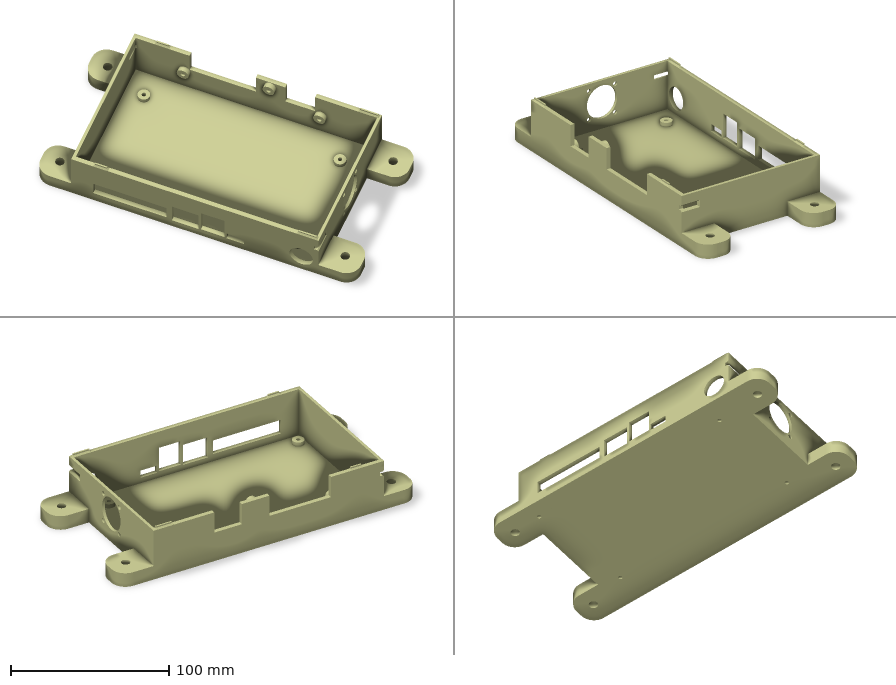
import cadquery as cq
box_length = 169.0
box_width = 106.0
box_height = 36.0
side_wall = 2.0
long_wall = 3.0
floor_thickness = 2.0
cavity_length = box_length - 2 * side_wall
cavity_width = box_width - 2 * long_wall

lug_size = 25.0
lug_height = 10.0
lug_corner_radius = 10.0
lug_hole_diameter = 6.0
lug_hole_spacing_x = 195.0
lug_hole_spacing_y = 80.0

standoff_diameter = 8.0
floor_standoff_height = 3.0
floor_standoff_hole = 2.8
floor_standoff_places = [(-69.5, 31.9), (64.5, 32.0), (64.5, -37.0), (-77.0, -41.5)]
wall_standoff_length = 3.5
wall_standoff_hole = 3.2
wall_standoff_places = [(-49.0, 18.5), (9.6, 31.5), (44.2, 18.5)]

port_openings = [
    (-44.5, 7.3, 50.0, 10.0),
    (-6.6, 6.0, 18.3, 14.8),
    (12.2, 6.7, 16.0, 17.3),
    (27.6, 6.0, 12.2, 5.3),
]
jack_diameter = 16.0
jack_x = 72.7
jack_z = 13.2

notch_bottom = 21.1
back_notches = [(-45.6, -0.4), (19.8, 40.1)]

fan_opening_diameter = 23.0
fan_screw_spacing = 20.0
fan_screw_diameter = 3.2
fan_z = 20.8

tongue_height = 2.0
tongue_slope = 1.0
tongue_spans = [(-69.5, 10.0), (69.5, 14.0)]

slot_length = 14.0
slot_width = 3.0
slot_depth = 3.0
slot_taper = 1.0
slot_z = 27.0


def corner_lug(x_side, y_side):
    """Lug beside a side wall, flush with the long wall, rounded at its free end."""
    reach = lug_size + side_wall
    center_x = x_side * (box_length / 2 + lug_size - reach / 2)
    center_y = y_side * (box_width - lug_size) / 2
    hole_x = x_side * lug_hole_spacing_x / 2
    hole_y = y_side * lug_hole_spacing_y / 2
    return (
        cq.Workplane("XY")
        .box(reach, lug_size, lug_height, centered=(True, True, False))
        .edges("|Z and >X" if x_side > 0 else "|Z and <X")
        .fillet(lug_corner_radius)
        .translate((center_x, center_y, 0))
        .cut(cq.Workplane("XY").center(hole_x, hole_y).circle(lug_hole_diameter / 2).extrude(lug_height))
    )


def snap_tongue(start_x, length, wall_y):
    """Ridge on a sloped base as wide as the long wall."""
    ridge_length = length - 2 * tongue_slope
    ridge_width = long_wall - 2 * tongue_slope
    base = (
        cq.Workplane("XY")
        .rect(length, long_wall)
        .workplane(offset=tongue_slope)
        .rect(ridge_length, ridge_width)
        .loft(combine=True)
    )
    ridge = cq.Workplane("XY").rect(ridge_length, ridge_width).extrude(tongue_height)
    return base.union(ridge).translate((start_x + length / 2, wall_y, box_height))


def corner_slot_cutter():
    """Cutter for the slot in the -X wall, open through the +Y face."""
    mouth_width = slot_width + 2 * slot_taper
    start_y = box_width / 2 - slot_length
    run_out = slot_length + slot_taper
    narrow = (
        cq.Workplane("YZ")
        .center(start_y + slot_taper + run_out / 2, slot_z)
        .rect(run_out, slot_width)
        .extrude(slot_depth)
    )
    mouth = (
        cq.Workplane("YZ")
        .center(start_y + slot_taper + run_out / 2, slot_z)
        .rect(run_out + 2 * slot_taper, mouth_width)
        .workplane(offset=slot_taper)
        .rect(run_out, slot_width)
        .loft(combine=True)
    )
    return narrow.union(mouth).translate((-box_length / 2, 0, 0))


def make_housing():
    body = cq.Workplane("XY").box(box_length, box_width, box_height, centered=(True, True, False))
    for x_side in (-1, 1):
        for y_side in (-1, 1):
            body = body.union(corner_lug(x_side, y_side))
    cavity = (
        cq.Workplane("XY")
        .workplane(offset=floor_thickness)
        .rect(cavity_length, cavity_width)
        .extrude(box_height)
    )
    body = body.cut(cavity)

    standoffs = (
        cq.Workplane("XY")
        .pushPoints(floor_standoff_places)
        .circle(standoff_diameter / 2)
        .extrude(floor_thickness + floor_standoff_height)
    )
    bores = (
        cq.Workplane("XY")
        .pushPoints(floor_standoff_places)
        .circle(floor_standoff_hole / 2)
        .extrude(floor_thickness + floor_standoff_height)
    )
    body = body.union(standoffs).cut(bores)

    front_wall_y = -(box_width - long_wall) / 2
    for center_x, bottom_z, width, height in port_openings:
        port = cq.Workplane("XY").box(width, long_wall, height, centered=(True, True, False))
        body = body.cut(port.translate((center_x, front_wall_y, bottom_z)))
    jack = (
        cq.Workplane("XZ", origin=(jack_x, -cavity_width / 2, jack_z))
        .circle(jack_diameter / 2)
        .extrude(long_wall)
    )
    body = body.cut(jack)

    for start_x, end_x in back_notches:
        notch = cq.Workplane("XY").box(end_x - start_x, long_wall, box_height - notch_bottom, centered=False)
        body = body.cut(notch.translate((start_x, cavity_width / 2, notch_bottom)))

    fan_plane = cq.Workplane("YZ", origin=(cavity_length / 2, 0, fan_z))
    body = body.cut(fan_plane.circle(fan_opening_diameter / 2).extrude(side_wall))
    fan_screws = (
        fan_plane.rect(fan_screw_spacing, fan_screw_spacing, forConstruction=True)
        .vertices()
        .circle(fan_screw_diameter / 2)
        .extrude(side_wall)
    )
    body = body.cut(fan_screws)

    for start_x, length in tongue_spans:
        for wall_y in (front_wall_y, -front_wall_y):
            body = body.union(snap_tongue(start_x, length, wall_y))
    slot = corner_slot_cutter()
    body = body.cut(slot)
    return body.cut(slot.rotate((0, 0, 0), (0, 0, 1), 180))


def wall_standoff(x, z):
    """Bored standoff against the inner face of the back wall."""
    return (
        cq.Workplane("XZ", origin=(x, cavity_width / 2, z))
        .circle(standoff_diameter / 2)
        .circle(wall_standoff_hole / 2)
        .extrude(wall_standoff_length)
    )


housing = make_housing()
wall_standoffs = [wall_standoff(x, z) for x, z in wall_standoff_places]

result = cq.Compound.makeCompound([housing.val(), *[standoff.val() for standoff in wall_standoffs]])